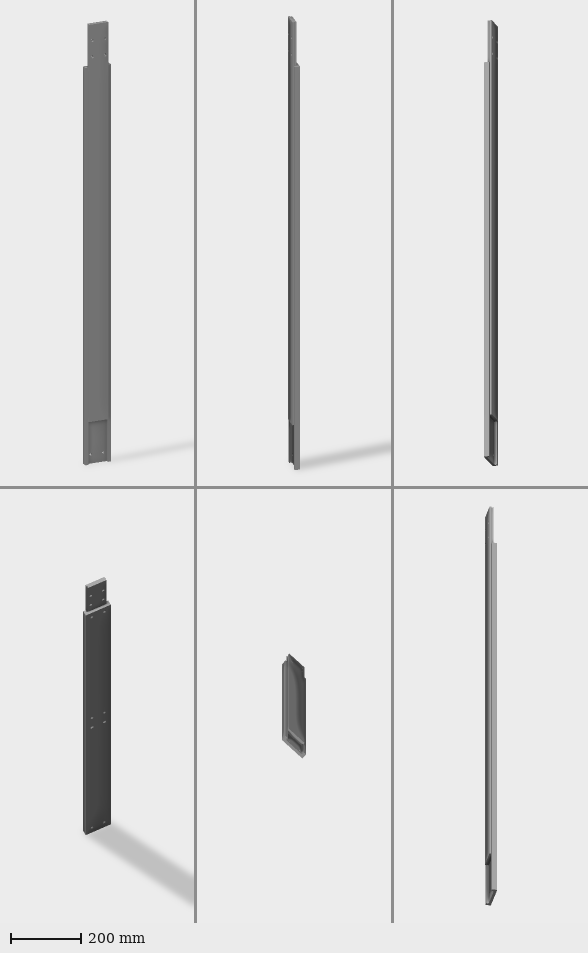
import cadquery as cq

total_length = 1330.0
rail_length = 1200.0
extension = total_length - rail_length

outer_width = 80.0
outer_depth = 16.0
web_thickness = 8.0

inner_width = 60.0
inner_depth = 12.0

race_radius = 3.0
race_x = (web_thickness + outer_depth) / 2

hole_half_spacing = 20.0
hole_diameter = 7.0
countersink_diameter = 10.0
countersink_angle = 90.0
bottom_hole_inset = 27.0
top_hole_inset = 24.0
middle_hole_offset = 25.0
plain_hole_diameter = 10.0
inner_hole_diameter = 8.0
inner_hole_pitch = 49.0


def hole_points(heights):
    """Return (Y, Z) centres of one pair of holes at each height."""
    return [(y, z) for z in heights for y in (-hole_half_spacing, hole_half_spacing)]


def make_ball_races():
    """Return the two full-length round cutters on the sides of the inner rail."""
    centres = [(race_x, side * inner_width / 2) for side in (-1, 1)]
    return cq.Workplane("XY").pushPoints(centres).circle(race_radius).extrude(rail_length)


def make_outer_rail():
    rail = cq.Workplane("XY").box(outer_depth, outer_width, rail_length, centered=(False, True, False))
    channel = (
        cq.Workplane("XY")
        .box(outer_depth - web_thickness, inner_width, rail_length, centered=(False, True, False))
        .translate((web_thickness, 0, 0))
    )
    middle = rail_length / 2
    countersunk_heights = [bottom_hole_inset, middle + middle_hole_offset, rail_length - top_hole_inset]
    plain_holes = (
        cq.Workplane("YZ")
        .pushPoints(hole_points([middle - middle_hole_offset]))
        .circle(plain_hole_diameter / 2)
        .extrude(web_thickness)
    )
    back = cq.Plane(origin=(0, 0, 0), xDir=(0, -1, 0), normal=(-1, 0, 0))
    return (
        rail.cut(channel)
        .cut(make_ball_races())
        .cut(plain_holes)
        .copyWorkplane(cq.Workplane(back))
        .pushPoints(hole_points(countersunk_heights))
        .cskHole(hole_diameter, countersink_diameter, countersink_angle, depth=web_thickness)
    )


def make_inner_rail():
    rail = cq.Workplane("XY").box(inner_depth, inner_width, rail_length, centered=(False, True, False))
    heights = [rail_length - row * inner_hole_pitch for row in (1, 2)]
    holes = (
        cq.Workplane("YZ")
        .pushPoints(hole_points(heights))
        .circle(inner_hole_diameter / 2)
        .extrude(inner_depth)
    )
    seated_rail = rail.cut(holes).translate((web_thickness, 0, 0))
    return seated_rail.cut(make_ball_races()).translate((0, 0, extension))


outer_rail = make_outer_rail()
inner_rail = make_inner_rail()

result = cq.Compound.makeCompound([outer_rail.val(), inner_rail.val()])